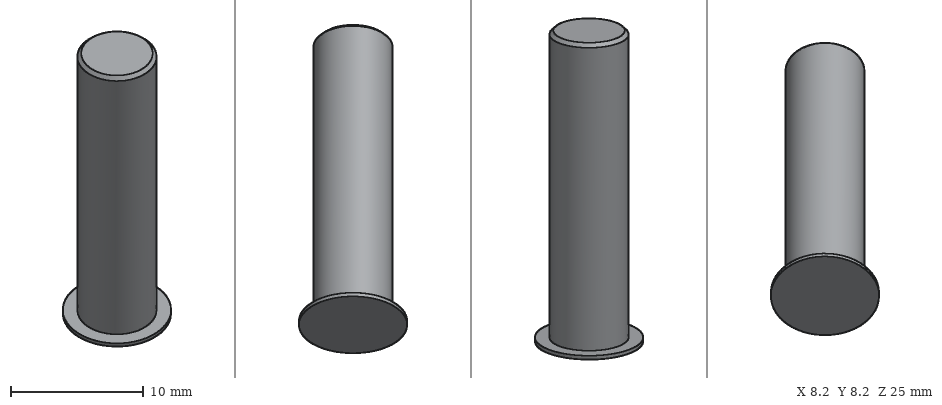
import cadquery as cq

total_height = 25.0
shank_diameter = 6.0

head_diameter = 8.2
head_thickness = 0.32

tip_chamfer = 0.3

head = cq.Workplane("XY").circle(head_diameter / 2).extrude(head_thickness)

shank = (
    cq.Workplane("XY")
    .circle(shank_diameter / 2)
    .extrude(total_height)
    .faces(">Z")
    .chamfer(tip_chamfer)
)

result = head.union(shank)